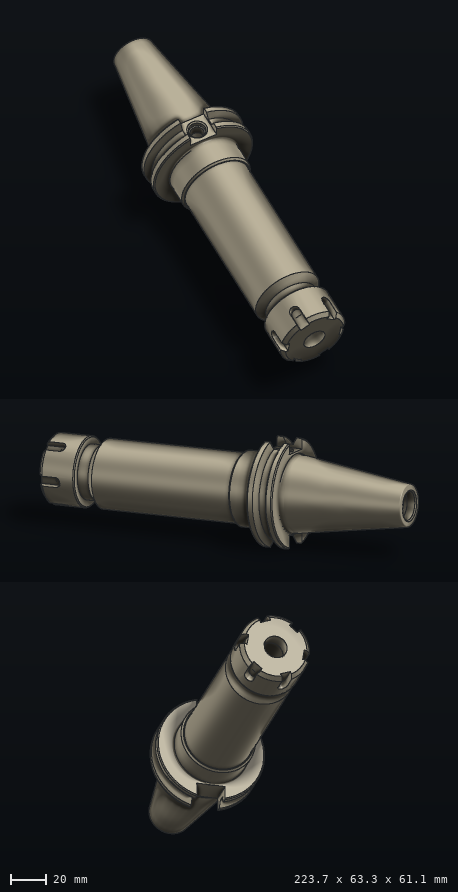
import cadquery as cq
import math


overall_length = 223.7
taper_length = 68.2
flange_start = 71.5
flange_width = 15.9
flange_end = flange_start + flange_width
collar_end = 103.8
barrel_end = 190.4
nut_start = 201.3
nut_length = overall_length - nut_start

gauge_dia = 44.5
taper_ratio = 7 / 24
small_end_dia = gauge_dia - taper_ratio * taper_length
small_end_fillet = 1.1

flange_dia = 63.3
flange_fillet = 1.0
rim_chamfer = 0.7
groove_dia = 55.5
groove_floor_width = 4.0
groove_centre = 79.5
groove_flank_angle = 30

slot_width = 16.5
upper_slot_floor = 24.4
lower_slot_floor = 22.5

pin_hole_mouth_dia = 11.9
pin_hole_counterbore_dia = 10.0
pin_hole_counterbore_depth = 3.4
pin_hole_dia = 8.0
pin_hole_depth = 9.0
drill_half_angle = 59

collar_dia = 43.8
collar_chamfer = 1.1
barrel_dia = 40.5
nose_dia = 32.0

bore_dia = 13.5
socket_dia = 16.5
socket_mouth_dia = 18.1
socket_depth = 5.5

nut_dia = 41.2
nut_back_chamfer = 0.7
nut_front_chamfer = 2.2
nut_recess_depth = 13.5
nut_slot_count = 6
nut_slot_width = 6.0
nut_slot_length = 13.5
nut_slot_floor = 16.5
nut_slot_turn = 9.3

nose_end = nut_start + nut_recess_depth
edge_pick_margin = 0.02


def revolve_about_x(outline):
    """Solid of revolution from (x, radius) points."""
    return cq.Workplane("XY").polyline(outline).close().revolve(360, (0, 0, 0), (1, 0, 0))


def shank_blank():
    """Taper up to the flange, with a rounded small end and a short cylinder behind the gauge line."""
    taper = revolve_about_x([
        (0, 0),
        (0, small_end_dia / 2),
        (taper_length, gauge_dia / 2),
        (flange_start, gauge_dia / 2),
        (flange_start, 0),
    ])
    return taper.faces("<X").edges().fillet(small_end_fillet)


def flange_blank():
    """Chamfered disc with a V groove around its rim."""
    rim = flange_dia / 2
    floor = groove_dia / 2
    floor_half = groove_floor_width / 2
    mouth_half = floor_half + (rim - floor) * math.tan(math.radians(groove_flank_angle))
    return revolve_about_x([
        (flange_start, 0),
        (flange_start, rim - rim_chamfer),
        (flange_start + rim_chamfer, rim),
        (groove_centre - mouth_half, rim),
        (groove_centre - floor_half, floor),
        (groove_centre + floor_half, floor),
        (groove_centre + mouth_half, rim),
        (flange_end - rim_chamfer, rim),
        (flange_end, rim - rim_chamfer),
        (flange_end, 0),
    ])


def barrel_blank():
    """Collar, long barrel and the nose that carries the nut."""
    shoulder_run = (barrel_dia - nose_dia) / 2
    return revolve_about_x([
        (flange_end, 0),
        (flange_end, collar_dia / 2),
        (collar_end - collar_chamfer, collar_dia / 2),
        (collar_end, collar_dia / 2 - collar_chamfer),
        (collar_end, barrel_dia / 2),
        (barrel_end, barrel_dia / 2),
        (barrel_end + shoulder_run, nose_dia / 2),
        (nose_end, nose_dia / 2),
        (nose_end, 0),
    ])


def drive_slot(floor, side):
    """Block that cuts one drive slot; side is +1 above the axis and -1 below it."""
    height = flange_dia / 2 - floor
    return (
        cq.Workplane("XY")
        .box(flange_width, slot_width, height)
        .translate((flange_start + flange_width / 2, 0, side * (floor + height / 2)))
    )


def pin_hole():
    """Chamfered, counterbored blind hole with a drill point, along Z."""
    mouth_chamfer = (pin_hole_mouth_dia - pin_hole_counterbore_dia) / 2
    point_length = pin_hole_dia / 2 / math.tan(math.radians(drill_half_angle))
    hole = (
        cq.Workplane("XZ")
        .polyline([
            (0, 0),
            (pin_hole_mouth_dia / 2, 0),
            (pin_hole_counterbore_dia / 2, -mouth_chamfer),
            (pin_hole_counterbore_dia / 2, -pin_hole_counterbore_depth),
            (pin_hole_dia / 2, -pin_hole_counterbore_depth),
            (pin_hole_dia / 2, -pin_hole_depth),
            (0, -pin_hole_depth - point_length),
        ])
        .close()
        .revolve(360, (0, 0, 0), (0, 1, 0))
    )
    return hole.translate((flange_start + flange_width / 2, 0, upper_slot_floor))


def holder_bore():
    """Through bore with a chamfered, cone-bottomed socket at the small end."""
    mouth_chamfer = (socket_mouth_dia - socket_dia) / 2
    cone_length = (socket_dia - bore_dia) / 2
    return revolve_about_x([
        (0, 0),
        (0, socket_mouth_dia / 2),
        (mouth_chamfer, socket_dia / 2),
        (socket_depth, socket_dia / 2),
        (socket_depth + cone_length, bore_dia / 2),
        (nose_end, bore_dia / 2),
        (nose_end, 0),
    ])


def fillet_flange_corner(blank, x, dia):
    """Round the inside corner where a cylinder of the given diameter meets a flange face."""
    face_slab = cq.selectors.BoxSelector(
        (x - edge_pick_margin, -dia, -dia),
        (x + edge_pick_margin, dia, dia),
    )
    smallest_circle = cq.selectors.RadiusNthSelector(0)
    return blank.edges(face_slab).edges(smallest_circle).fillet(flange_fillet)


def make_holder():
    blank = shank_blank().union(flange_blank()).union(barrel_blank())
    blank = fillet_flange_corner(blank, flange_start, gauge_dia)
    blank = fillet_flange_corner(blank, flange_end, collar_dia)
    return (
        blank
        .cut(drive_slot(upper_slot_floor, 1))
        .cut(drive_slot(lower_slot_floor, -1))
        .cut(pin_hole())
        .cut(holder_bore())
    )


def nut_slot(turn):
    """Flat-floored, round-ended wrench slot at the given angle from -Y towards +Z."""
    half_width = nut_slot_width / 2
    closed_end = overall_length - nut_slot_length
    slot = (
        cq.Workplane("XZ", origin=(0, -nut_slot_floor, 0))
        .moveTo(overall_length, -half_width)
        .lineTo(closed_end + half_width, -half_width)
        .threePointArc((closed_end, 0), (closed_end + half_width, half_width))
        .lineTo(overall_length, half_width)
        .close()
        .extrude(nut_dia / 2 - nut_slot_floor)
    )
    return slot.rotate((0, 0, 0), (1, 0, 0), -turn)


def make_nut():
    nut = cq.Workplane("YZ", origin=(nut_start, 0, 0)).circle(nut_dia / 2).extrude(nut_length)
    nut = nut.faces("<X").edges().chamfer(nut_back_chamfer)
    nut = nut.faces(">X").edges().chamfer(nut_front_chamfer)
    for index in range(nut_slot_count):
        nut = nut.cut(nut_slot(nut_slot_turn + index * 360 / nut_slot_count))
    recess = cq.Workplane("YZ", origin=(nut_start, 0, 0)).circle(nose_dia / 2).extrude(nut_recess_depth)
    bore = cq.Workplane("YZ", origin=(nut_start, 0, 0)).circle(bore_dia / 2).extrude(nut_length)
    return nut.cut(recess).cut(bore)


holder = make_holder()
nut = make_nut()
result = cq.Compound.makeCompound([holder.val(), nut.val()])